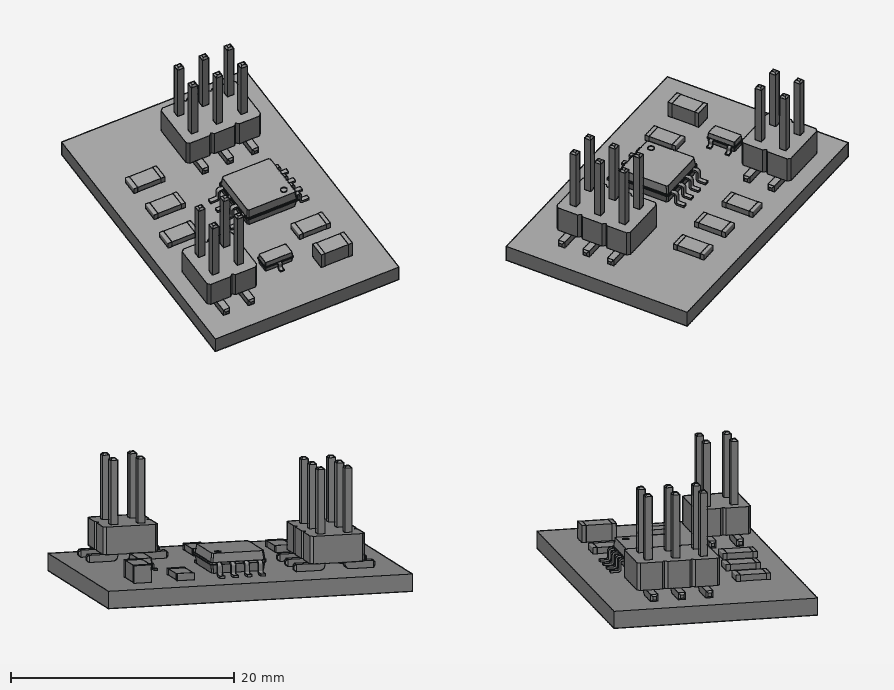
import cadquery as cq


board_length = 28.45
board_width = 18.8
board_thickness = 1.6
overall_height = 10.95

header_body_width = 5.1
pin_pitch = header_body_width / 2
pin_size = 0.65
pin_tip_chamfer = 0.17
pin_bend_radius = 0.45
foot_span = 7.57
header_body_height = 2.53
header_body_gap = 0.8
header_corner_chamfer = 0.25
header_places = [
    (-8.17, 2.53, 3),
    (8.35, -5.72, 2),
]

chip_place = (0.77, 2.5)
chip_length = 5.23
chip_width = 5.32
chip_ledge = 0.09
chip_taper = 0.1
chip_corner_chamfer = 0.15
chip_standoff = 0.2
chip_top = 2.02
chip_lead_rows = 4
chip_lead_pitch = pin_pitch / 2
chip_lead_width = 0.43
chip_lead_thickness = 0.2
chip_lead_span = 7.97
chip_foot_length = 0.77
mark_diameter = 0.6
mark_offset = 1.65
mark_depth = 0.09

transistor_place = (8.4, 0.0)
transistor_length = 2.9
transistor_width = 1.4
transistor_ledge = 0.03
transistor_taper = 0.05
transistor_corner_chamfer = 0.05
transistor_standoff = 0.1
transistor_top = 1.2
transistor_lead_spacing = 1.9
transistor_lead_width = 0.4
transistor_lead_thickness = 0.15
transistor_lead_span = 2.5
transistor_foot_length = 0.35

lead_inner_radius = 0.1

terminal_part_length = 3.2
terminal_part_width = 1.6
terminal_length = 0.4
terminal_step = 0.015
resistor_height = 0.6
resistor_end_fillet = 0.05
capacitor_height = 1.6
resistor_places = [(6.1, 4.86), (-6.17, -5.3), (-2.42, -5.3), (1.35, -5.95)]
capacitor_place = (10.13, 4.86)


def on_board(body, x, y):
    """Move a body built around the origin to its place on the board surface."""
    return body.translate((x, y, board_thickness))


def centred_box(length, width, height, bottom):
    box = cq.Workplane("XY").workplane(offset=bottom)
    return box.rect(length, width).extrude(height)



def header_pin():
    """Bent square pin of the +X column, with its row on y = 0."""
    half = pin_size / 2
    inner_x = pin_pitch / 2 - half
    outer_x = pin_pitch / 2 + half
    foot_tip = foot_span / 2
    pin_top = overall_height - board_thickness
    return (
        cq.Workplane("XZ", origin=(0, half, 0))
        .moveTo(inner_x, pin_top)
        .lineTo(outer_x, pin_top)
        .lineTo(outer_x, pin_size)
        .lineTo(foot_tip, pin_size)
        .lineTo(foot_tip, 0)
        .lineTo(inner_x + pin_bend_radius, 0)
        .radiusArc((inner_x, pin_bend_radius), pin_bend_radius)
        .close()
        .extrude(pin_size)
        .faces(">Z or >X").chamfer(pin_tip_chamfer)
    )


def header(rows):
    header_body = None
    for row in range(rows):
        y = (row - (rows - 1) / 2) * pin_pitch
        block = (
            centred_box(header_body_width, pin_pitch, header_body_height, header_body_gap)
            .edges("|Z").chamfer(header_corner_chamfer)
            .translate((0, y, 0))
        )
        header_body = block if header_body is None else header_body.union(block)
    for row in range(rows):
        y = (row - (rows - 1) / 2) * pin_pitch
        right_pin = header_pin().translate((0, y, 0))
        header_body = header_body.union(right_pin).union(right_pin.mirror("YZ"))
    return header_body



def moulded_body(length, width, bottom, top, band, ledge, taper, corner):
    """Block with a band standing out at mid height and slopes tapering above and below it."""
    slope_height = (top - bottom - band) / 2
    band_bottom = bottom + slope_height

    def outline(inset):
        return (
            cq.Sketch()
            .rect(length - 2 * inset, width - 2 * inset)
            .vertices().chamfer(corner)
        )

    def slope(start, rise):
        end_outline = outline(ledge + taper).moved(cq.Location(cq.Vector(0, 0, rise)))
        start_plane = cq.Workplane("XY").workplane(offset=start)
        return start_plane.placeSketch(outline(ledge), end_outline).loft()

    band_plate = cq.Workplane("XY").workplane(offset=band_bottom).placeSketch(outline(0)).extrude(band)
    upper_slope = slope(band_bottom + band, slope_height)
    lower_slope = slope(band_bottom, -slope_height)
    return band_plate.union(upper_slope).union(lower_slope)


def gull_wing_lead(root, tip, top, thickness, width, foot_length):
    """Lead in the XZ plane from the package side at x = root out to a foot on the board."""
    inner = lead_inner_radius
    outer = inner + thickness
    rise_outer = tip - foot_length
    rise_inner = rise_outer - thickness
    return (
        cq.Workplane("XZ", origin=(0, width / 2, 0))
        .moveTo(root, top)
        .lineTo(rise_outer - outer, top)
        .radiusArc((rise_outer, top - outer), outer)
        .lineTo(rise_outer, outer)
        .radiusArc((rise_outer + inner, thickness), -inner)
        .lineTo(tip, thickness)
        .lineTo(tip, 0)
        .lineTo(rise_inner + outer, 0)
        .radiusArc((rise_inner, outer), outer)
        .lineTo(rise_inner, top - outer)
        .radiusArc((rise_inner - inner, top - thickness), -inner)
        .lineTo(root, top - thickness)
        .close()
        .extrude(width)
    )


def eight_lead_chip():
    body = moulded_body(
        chip_length, chip_width, chip_standoff, chip_top,
        chip_lead_thickness, chip_ledge, chip_taper, chip_corner_chamfer,
    )
    mark = (
        cq.Workplane("XY", origin=(mark_offset, mark_offset, chip_top))
        .circle(mark_diameter / 2).extrude(-mark_depth)
    )
    body = body.cut(mark)
    lead = gull_wing_lead(
        chip_width / 2 - chip_ledge, chip_lead_span / 2,
        (chip_standoff + chip_top + chip_lead_thickness) / 2,
        chip_lead_thickness, chip_lead_width, chip_foot_length,
    )
    for side_angle in (90, -90):
        side_lead = lead.rotate((0, 0, 0), (0, 0, 1), side_angle)
        for row in range(chip_lead_rows):
            x = (row - (chip_lead_rows - 1) / 2) * chip_lead_pitch
            body = body.union(side_lead.translate((x, 0, 0)))
    return body


def transistor_package():
    body = moulded_body(
        transistor_width, transistor_length, transistor_standoff, transistor_top,
        transistor_lead_thickness, transistor_ledge, transistor_taper, transistor_corner_chamfer,
    )
    lead = gull_wing_lead(
        transistor_width / 2 - transistor_ledge, transistor_lead_span / 2,
        (transistor_standoff + transistor_top + transistor_lead_thickness) / 2,
        transistor_lead_thickness, transistor_lead_width, transistor_foot_length,
    )
    body = body.union(lead)
    for side in (-1, 1):
        body = body.union(lead.mirror("YZ").translate((0, side * transistor_lead_spacing / 2, 0)))
    return body



def terminal_part(height, end_fillet=0):
    body = centred_box(
        terminal_part_width - 2 * terminal_step,
        terminal_part_length - 2 * terminal_length,
        height - 2 * terminal_step,
        terminal_step,
    )
    terminal = centred_box(terminal_part_width, terminal_length, height, 0)
    terminal = terminal.translate((0, (terminal_part_length - terminal_length) / 2, 0))
    if end_fillet:
        terminal = terminal.faces(">Y").edges("|X").fillet(end_fillet)
    return body.union(terminal).union(terminal.mirror("XZ"))


board = centred_box(board_length, board_width, board_thickness, 0)
headers = [on_board(header(rows), x, y) for x, y, rows in header_places]
chip = on_board(eight_lead_chip(), *chip_place)
transistor = on_board(transistor_package(), *transistor_place)
resistors = [
    on_board(terminal_part(resistor_height, resistor_end_fillet), x, y)
    for x, y in resistor_places
]
capacitor = on_board(terminal_part(capacitor_height), *capacitor_place)

result = cq.Compound.makeCompound([
    board.val(),
    *[body.val() for body in headers],
    chip.val(),
    transistor.val(),
    *[body.val() for body in resistors],
    capacitor.val(),
])